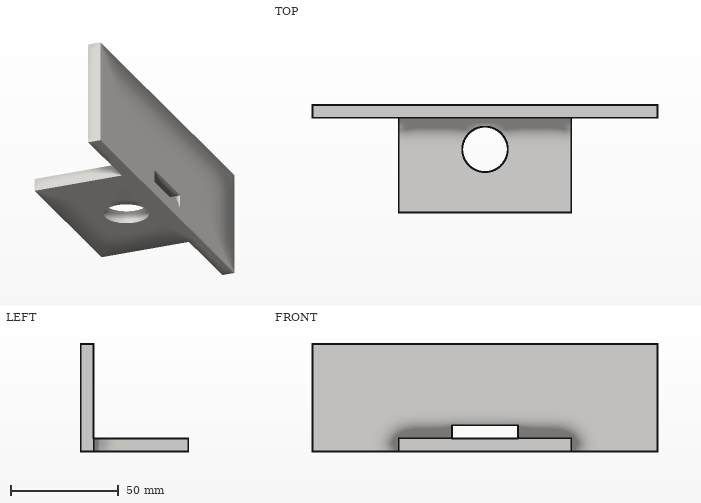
import cadquery as cq

plate_length = 160.0
leg_size = 50.0
thickness = 6.0
shelf_width = plate_length / 2
hole_diameter = 21.0
hole_from_front = 29.3
window_width = 30.4
window_height = 6.0

plate = cq.Workplane("XY").box(plate_length, thickness, leg_size, centered=(True, False, False))
plate = plate.translate((0, leg_size - thickness, 0))

shelf = cq.Workplane("XY").box(shelf_width, leg_size, thickness, centered=(True, False, False))

hole = cq.Workplane("XY").center(0, hole_from_front).circle(hole_diameter / 2).extrude(thickness)

window = cq.Workplane("XY").box(window_width, leg_size, window_height, centered=(True, False, False))
window = window.translate((0, 0, thickness))

result = plate.union(shelf).cut(hole).cut(window)